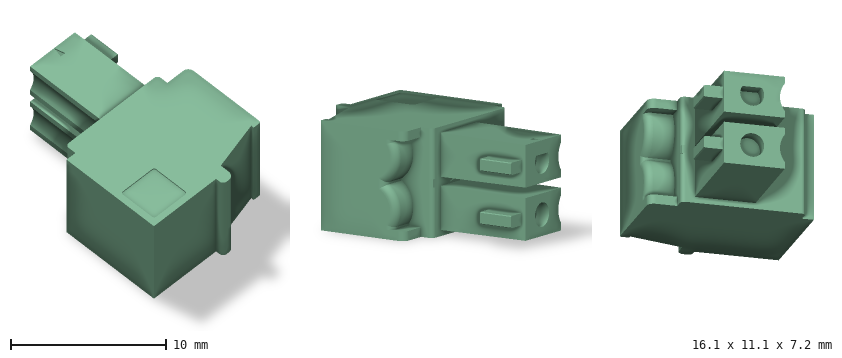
import cadquery as cq


total_length = 16.1
housing_width = 11.1
housing_height = 7.2
top_z = housing_height / 2

nose_x = 6.6
front_x = 7.5
rear_x = 15.45
nose_low_y = 0.8
nose_high_y = 9.18
nose_round = 0.29
corner_round = 0.48

hook_tip_x = 14.1
hook_root_x = 13.88
hook_y = 10.43
hook_round = 0.16
slope_end_x = 14.88

lip_high_y = 6.67
lip_low_y = 5.65
lip_high_round = 0.5
lip_low_round = 0.32

pole_pitch = 3.5
pole_levels = (pole_pitch / 2, -pole_pitch / 2)

sleeve_low_y = 4.19
sleeve_high_y = 8.26
sleeve_half_root = 1.45
sleeve_half_tip = 1.4
groove_half = 0.93
groove_depth = 0.32

hole_y = 6.38
hole_radius = 0.8
hole_depth = 0.97
hole_flat_height = 0.48

key_start_x = 0.25
key_end_x = 2.67
key_high_y = 9.53
key_thickness = 0.8
key_bevel_y = 0.1
key_bevel_z = 0.05

recess_half = 2.96
rim_floor_x = 8.44
mid_floor_x = 9.03
boss_tip_x = 8.13
boss_axis_x = 10.13
boss_radius = boss_axis_x - boss_tip_x

rib_half = 0.27
rib_drop = 0.05
mark_length = 0.8
mark_width = 0.4
mark_depth = 0.1
badge_size = 3.03
badge_center = (13.48, 2.0)
badge_round = 0.2
badge_depth = 0.1


def prism(outline, height, base_z):
    """Extrude a closed XY outline upward from base_z."""
    return outline.extrude(height).translate((0, 0, base_z))


def box(x_range, y_range, z_range):
    """Box between the given pairs of limits."""
    (x0, x1), (y0, y1), (z0, z1) = x_range, y_range, z_range
    return cq.Workplane("XY").box(x1 - x0, y1 - y0, z1 - z0, centered=False).translate((x0, y0, z0))


def make_housing():
    lip_top_start = total_length - lip_high_round
    lip_bottom_end = total_length - lip_low_round
    outline = (
        cq.Workplane("XY")
        .moveTo(front_x, 0)
        .lineTo(rear_x, 0)
        .lineTo(rear_x, lip_low_y)
        .lineTo(lip_bottom_end, lip_low_y)
        .radiusArc((total_length, lip_low_y + lip_low_round), -lip_low_round)
        .lineTo(total_length, lip_high_y - lip_high_round)
        .radiusArc((lip_top_start, lip_high_y), -lip_high_round)
        .lineTo(slope_end_x, lip_high_y)
        .lineTo(hook_root_x, hook_y)
        .lineTo(hook_tip_x, hook_y)
        .lineTo(hook_tip_x, housing_width - hook_round)
        .radiusArc((hook_tip_x - hook_round, housing_width), -hook_round)
        .lineTo(front_x + corner_round, housing_width)
        .radiusArc((front_x, housing_width - corner_round), -corner_round)
        .lineTo(front_x, nose_high_y)
        .lineTo(nose_x + nose_round, nose_high_y)
        .radiusArc((nose_x, nose_high_y - nose_round), -nose_round)
        .lineTo(nose_x, nose_low_y + nose_round)
        .radiusArc((nose_x + nose_round, nose_low_y), -nose_round)
        .lineTo(front_x, nose_low_y)
        .close()
    )
    return prism(outline, housing_height, -top_z)


def rounded_slab(face_x):
    """Recess filling behind face_x, with its +Y front edge rounded."""
    slab = box((face_x, boss_axis_x), (nose_high_y, housing_width), (-recess_half, recess_half))
    return slab.edges("<X and >Y").fillet(corner_round)


def make_boss(level):
    """Cylinder along Y with a rounded end, kept in front of its axis."""
    length = housing_width - nose_high_y
    cylinder = (
        cq.Workplane("XZ", origin=(boss_axis_x, housing_width, level))
        .circle(boss_radius)
        .extrude(length)
        .faces(">Y")
        .edges()
        .fillet(corner_round)
    )
    z_range = (0, recess_half) if level > 0 else (-recess_half, 0)
    return cylinder.intersect(box((boss_tip_x, boss_axis_x), (nose_high_y, housing_width), z_range))


def make_recess_filling():
    filling = rounded_slab(mid_floor_x)
    outer_part = rounded_slab(rim_floor_x)
    inner_gap = box((front_x, boss_axis_x), (nose_high_y, housing_width), pole_levels[::-1])
    filling = filling.union(outer_part.cut(inner_gap))
    for level in pole_levels:
        filling = filling.union(make_boss(level))
    return filling


def make_nose_rib():
    """Rib that squares off the rounded nose edge at mid height."""
    outline = (
        cq.Workplane("XY")
        .moveTo(nose_x, nose_high_y - nose_round)
        .lineTo(nose_x, nose_high_y - rib_drop)
        .lineTo(nose_x + nose_round, nose_high_y)
        .lineTo(nose_x + nose_round, nose_high_y - nose_round)
        .close()
    )
    return prism(outline, 2 * rib_half, -rib_half)


def make_sleeve(level):
    """Contact sleeve, tapered in Z, with a groove along its -Y side."""
    side = (
        cq.Workplane("XZ", origin=(0, sleeve_high_y, level))
        .moveTo(0, -sleeve_half_tip)
        .lineTo(nose_x, -sleeve_half_root)
        .lineTo(nose_x, sleeve_half_root)
        .lineTo(0, sleeve_half_tip)
        .close()
        .extrude(sleeve_high_y - sleeve_low_y)
    )
    groove_radius = (groove_half**2 + groove_depth**2) / (2 * groove_depth)
    groove_y = sleeve_low_y + groove_depth - groove_radius
    groove = cq.Workplane("YZ", origin=(0, groove_y, level)).circle(groove_radius).extrude(nose_x)
    return side.cut(groove)


def make_key(level):
    """Coding key on the +Y side of a sleeve, bevelled along its outer edges."""
    half = key_thickness / 2
    return (
        cq.Workplane("YZ", origin=(key_start_x, 0, level))
        .moveTo(sleeve_high_y, -half)
        .lineTo(key_high_y - key_bevel_y, -half)
        .lineTo(key_high_y, key_bevel_z - half)
        .lineTo(key_high_y, half - key_bevel_z)
        .lineTo(key_high_y - key_bevel_y, half)
        .lineTo(sleeve_high_y, half)
        .close()
        .extrude(key_end_x - key_start_x)
    )


def make_hole(level):
    """Blind contact hole; the upper one has a flat above its axis."""
    hole = cq.Workplane("YZ", origin=(0, hole_y, level)).circle(hole_radius).extrude(hole_depth)
    if level > 0:
        y_range = (hole_y - hole_radius, hole_y + hole_radius)
        z_range = (level + hole_flat_height, level + hole_radius)
        hole = hole.cut(box((0, hole_depth), y_range, z_range))
    return hole


def make_sleeve_mark():
    """Triangular mark in the top of the upper sleeve, pointing to its tip."""
    surface_z = pole_pitch / 2 + sleeve_half_root
    floor_z = pole_pitch / 2 + sleeve_half_tip - mark_depth
    outline = (
        cq.Workplane("XY")
        .center(0, hole_y)
        .polyline([(0, 0), (mark_length, mark_width / 2), (mark_length, -mark_width / 2)])
        .close()
    )
    return prism(outline, surface_z - floor_z, floor_z)


def make_nose_mark():
    """Triangular mark in the nose face between the sleeves, pointing to -Y."""
    return (
        cq.Workplane("YZ", origin=(nose_x, hole_y, 0))
        .polyline([(0, 0), (mark_length, mark_width / 2), (mark_length, -mark_width / 2)])
        .close()
        .extrude(mark_depth)
    )


def make_badge_pocket():
    """Shallow square pocket in the top face."""
    pocket = cq.Workplane("XY").center(*badge_center).rect(badge_size, badge_size).extrude(badge_depth)
    return pocket.edges("|Z").fillet(badge_round).translate((0, 0, top_z - badge_depth))


recess = box((front_x, boss_axis_x), (nose_high_y, housing_width), (-recess_half, recess_half))
result = make_housing().cut(recess).union(make_recess_filling()).union(make_nose_rib())

for pole_level in pole_levels:
    result = result.union(make_sleeve(pole_level)).union(make_key(pole_level)).cut(make_hole(pole_level))

result = result.cut(make_sleeve_mark()).cut(make_nose_mark()).cut(make_badge_pocket())